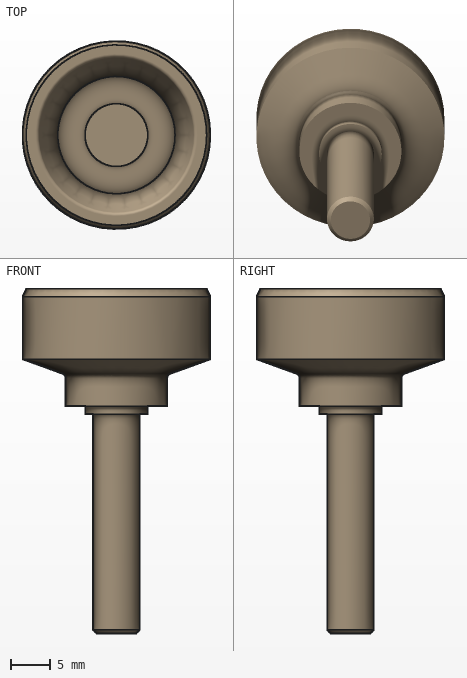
import cadquery as cq

total_height = 44.0
knob_diameter = 24.0

rim_chamfer_height = 1.0
rim_chamfer_width = 0.5
cylinder_depth = 9.0
cone_depth = 11.0
knob_height = 15.0
collar_radius = 6.5
collar_fillet = 0.5

bowl_top_radius = 10.0
bowl_floor_radius = 7.5
bowl_depth = 6.5
bowl_lip_fillet = 0.5

shank_radius = 3.0
shank_tip_chamfer = 0.5
head_radius = 4.0
head_top_depth = 6.0
head_overhang = 1.0

knob_radius = knob_diameter / 2
top_z = total_height
knob_bottom_z = top_z - knob_height
cone_bottom_z = top_z - cone_depth
bowl_floor_z = top_z - bowl_depth
head_top_z = top_z - head_top_depth
head_bottom_z = knob_bottom_z - head_overhang


def ring_edge(solid, radius, z):
    """Circular edges of the given radius about the Z axis, lying at height z."""
    tolerance = 0.005
    rings = [
        edge for edge in solid.edges("%CIRCLE").vals()
        if abs(edge.radius() - radius) < tolerance and abs(edge.Center().z - z) < tolerance
    ]
    return solid.newObject(rings)


def make_knob():
    """Turned knob with a tapered bowl, a conical underside and a collar bored for the stud."""
    knob = (
        cq.Workplane("XZ")
        .moveTo(head_radius, knob_bottom_z)
        .lineTo(collar_radius, knob_bottom_z)
        .lineTo(collar_radius, cone_bottom_z)
        .lineTo(knob_radius, top_z - cylinder_depth)
        .lineTo(knob_radius, top_z - rim_chamfer_height)
        .lineTo(knob_radius - rim_chamfer_width, top_z)
        .lineTo(bowl_top_radius, top_z)
        .lineTo(bowl_floor_radius, bowl_floor_z)
        .lineTo(head_radius, bowl_floor_z)
        .close()
        .revolve(360, (0, 0, 0), (0, 1, 0))
    )
    knob = ring_edge(knob, collar_radius, cone_bottom_z).fillet(collar_fillet)
    return ring_edge(knob, bowl_top_radius, top_z).fillet(bowl_lip_fillet)


def make_stud():
    """Round shank with a chamfered tip and a wider head that fills the knob's bore."""
    shank = (
        cq.Workplane("XY")
        .circle(shank_radius)
        .extrude(head_bottom_z)
        .faces("<Z")
        .chamfer(shank_tip_chamfer)
    )
    head = (
        cq.Workplane("XY", origin=(0, 0, head_bottom_z))
        .circle(head_radius)
        .extrude(head_top_z - head_bottom_z)
    )
    return shank.union(head)


knob = make_knob()
stud = make_stud()
result = cq.Compound.makeCompound([knob.solids().val(), stud.solids().val()])